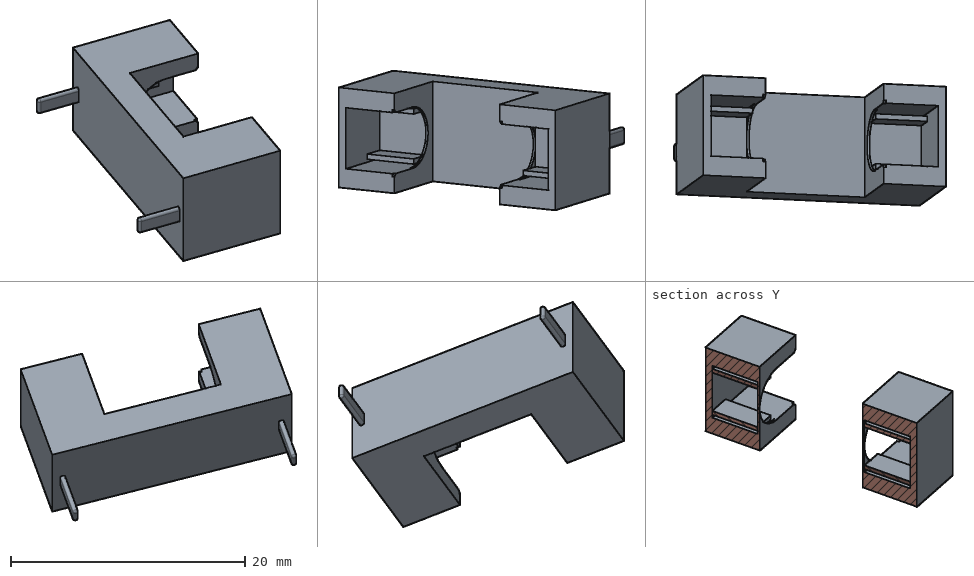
import cadquery as cq

LENGTH = 21.38
HEIGHT = 8.68
OVERALL_DEPTH = 13.08
HOUSING_DEPTH = 9.21
CHANNEL_LENGTH = 10.4
CHANNEL_DEPTH = 6.5

WINDOW_RADIUS = 2.65
WINDOW_AXIS_DEPTH = 3.05
MOUTH_CHAMFER = 0.25

INNER_WALL = 0.21
END_WALL = 0.7

LEAF_TOP_DEPTH = 3.63
LEAF_THICKNESS = 0.45
LEAF_GAP = 3.9

PIN_PITCH = 19.5
PIN_THICKNESS = 0.45
PIN_WIDTH = 1.5

FRONT_Y = -HOUSING_DEPTH / 2
BACK_Y = HOUSING_DEPTH / 2
PIN_LENGTH = OVERALL_DEPTH - HOUSING_DEPTH
PIN_RADIUS = PIN_THICKNESS / 2
PIN_TIP_Y = FRONT_Y - PIN_LENGTH + PIN_RADIUS
WINDOW_AXIS_Y = BACK_Y - WINDOW_AXIS_DEPTH
POCKET_DEPTH = WINDOW_AXIS_DEPTH + WINDOW_RADIUS
POCKET_FLOOR_Y = BACK_Y - POCKET_DEPTH
POCKET_START_X = CHANNEL_LENGTH / 2 + INNER_WALL
POCKET_LENGTH = LENGTH / 2 - END_WALL - POCKET_START_X
POCKET_CENTER_X = POCKET_START_X + POCKET_LENGTH / 2
LEAF_LENGTH_Y = POCKET_DEPTH - LEAF_TOP_DEPTH
LEAF_OFFSET_Z = (LEAF_GAP + LEAF_THICKNESS) / 2
SIDES = (-1, 1)


def make_windows():
    """U-shaped cutter with a flared mouth, spanning the channel and both inner walls."""
    mouth_half = WINDOW_RADIUS + MOUTH_CHAMFER
    profile = (
        cq.Workplane("YZ", origin=(-POCKET_START_X, 0, 0))
        .moveTo(BACK_Y, mouth_half)
        .lineTo(BACK_Y - MOUTH_CHAMFER, WINDOW_RADIUS)
        .lineTo(WINDOW_AXIS_Y, WINDOW_RADIUS)
        .threePointArc((POCKET_FLOOR_Y, 0), (WINDOW_AXIS_Y, -WINDOW_RADIUS))
        .lineTo(BACK_Y - MOUTH_CHAMFER, -WINDOW_RADIUS)
        .lineTo(BACK_Y, -mouth_half)
        .close()
    )
    return profile.extrude(2 * POCKET_START_X)


def make_pocket(side):
    """Rectangular pocket cutter for the arm on the given X side."""
    return cq.Workplane("XY").box(POCKET_LENGTH, POCKET_DEPTH, 2 * WINDOW_RADIUS).translate(
        (side * POCKET_CENTER_X, BACK_Y - POCKET_DEPTH / 2, 0)
    )


def make_housing():
    """Block with the central channel, the two windows and the two pockets removed."""
    block = cq.Workplane("XY").box(LENGTH, HOUSING_DEPTH, HEIGHT)
    channel = cq.Workplane("XY").box(CHANNEL_LENGTH, CHANNEL_DEPTH, HEIGHT).translate(
        (0, BACK_Y - CHANNEL_DEPTH / 2, 0)
    )
    housing = block.cut(channel).cut(make_windows())
    for side in SIDES:
        housing = housing.cut(make_pocket(side))
    return housing


def make_leaf(side, level):
    """Flat spring leaf in the pocket on one X side, above or below the window axis."""
    return cq.Workplane("XY").box(POCKET_LENGTH, LEAF_LENGTH_Y, LEAF_THICKNESS).translate(
        (side * POCKET_CENTER_X, POCKET_FLOOR_Y + LEAF_LENGTH_Y / 2, level * LEAF_OFFSET_Z)
    )


def make_pin(side):
    """Flat pin butted against the -Y face, with fully rounded long edges and tip."""
    shank = (
        cq.Workplane("XZ", origin=(0, FRONT_Y, 0))
        .slot2D(PIN_WIDTH, PIN_THICKNESS, 90)
        .extrude(PIN_LENGTH - PIN_RADIUS)
    )
    round_span = PIN_WIDTH - PIN_THICKNESS
    tip = cq.Workplane("XY", origin=(0, PIN_TIP_Y, -round_span / 2)).circle(PIN_RADIUS).extrude(round_span)
    pin = shank.union(tip)
    for end in SIDES:
        corner = cq.Workplane("XY").sphere(PIN_RADIUS).translate((0, PIN_TIP_Y, end * round_span / 2))
        pin = pin.union(corner)
    return pin.translate((side * PIN_PITCH / 2, 0, 0))


housing = make_housing()
pins = [make_pin(side) for side in SIDES]
leaves = [make_leaf(side, level) for side in SIDES for level in SIDES]

result = cq.Compound.makeCompound([housing.val(), *[body.val() for body in pins + leaves]])